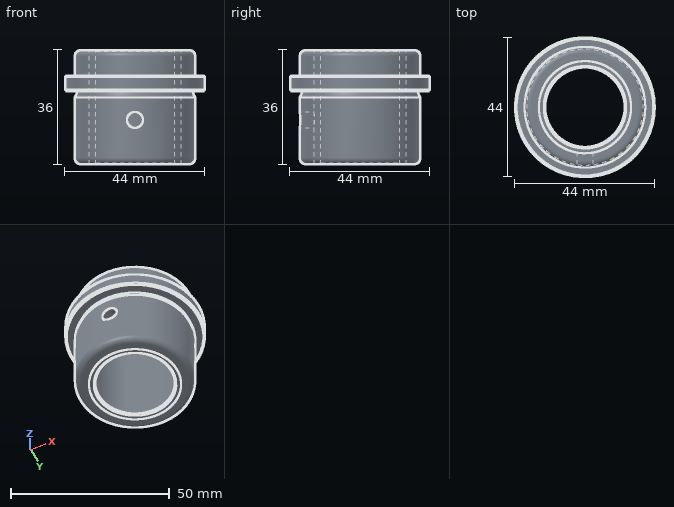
import cadquery as cq
import math

flange_diameter = 44.0
height = 36.0

body_radius = 19.0
edge_round = 2.0
flange_bottom = 23.0
flange_thickness = 5.0
flange_chamfer = 0.5
neck_bottom = 21.1
neck_arc_radius = 3.0
radial_hole_diameter = 5.0
radial_hole_height = 14.0

liner_radius = 14.5
bore_radius = 12.5
bore_chamfer = 0.5

flange_radius = flange_diameter / 2
flange_top = flange_bottom + flange_thickness


def make_housing():
    """Flanged sleeve with rounded ends, a concave neck and one radial hole."""
    neck_depth = neck_arc_radius - math.sqrt(neck_arc_radius**2 - (flange_bottom - neck_bottom) ** 2)
    neck_radius = body_radius - neck_depth
    sleeve = (
        cq.Workplane("XZ")
        .moveTo(liner_radius, 0)
        .lineTo(body_radius - edge_round, 0)
        .radiusArc((body_radius, edge_round), -edge_round)
        .lineTo(body_radius, neck_bottom)
        .radiusArc((neck_radius, flange_bottom), neck_arc_radius)
        .lineTo(flange_radius - flange_chamfer, flange_bottom)
        .lineTo(flange_radius, flange_bottom + flange_chamfer)
        .lineTo(flange_radius, flange_top - flange_chamfer)
        .lineTo(flange_radius - flange_chamfer, flange_top)
        .lineTo(body_radius, flange_top)
        .lineTo(body_radius, height - edge_round)
        .radiusArc((body_radius - edge_round, height), -edge_round)
        .lineTo(liner_radius, height)
        .close()
        .revolve(360, (0, 0, 0), (0, 1, 0))
    )
    radial_hole = (
        cq.Workplane("XZ")
        .center(0, radial_hole_height)
        .circle(radial_hole_diameter / 2)
        .extrude(flange_radius)
    )
    return sleeve.cut(radial_hole)


def make_liner():
    """Plain bushing filling the housing, with both bore mouths chamfered."""
    return (
        cq.Workplane("XY")
        .circle(liner_radius)
        .circle(bore_radius)
        .extrude(height)
        .edges(cq.selectors.RadiusNthSelector(0))
        .chamfer(bore_chamfer)
    )


housing = make_housing()
liner = make_liner()

result = cq.Compound.makeCompound([housing.val(), liner.val()])